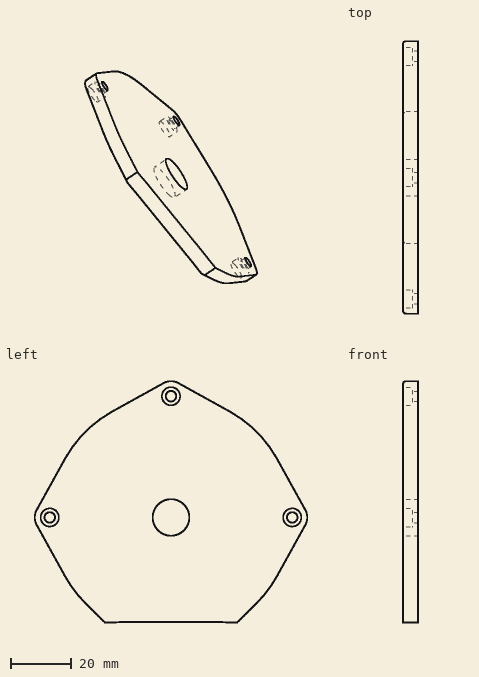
import cadquery as cq
import math

thickness = 5.0
screw_circle_radius = 40.0
corner_radius = 5.0
body_radius = screw_circle_radius
base_z = -34.71
base_half_width = 21.8
base_relief_depth = 0.2
relief_floor_half_width = 16.0
relief_mouth_half_width = 19.0
rim_fillet = 1.0
shaft_hole_diameter = 12.0
screw_hole_diameter = 3.4
counterbore_diameter = 6.0
counterbore_depth = 3.0

flank_normal_angle = math.acos((body_radius - corner_radius) / screw_circle_radius)

base_corner_distance = math.hypot(base_half_width, base_z)
base_corner_angle = math.atan2(base_z, base_half_width)
lower_tangent_angle = base_corner_angle + math.acos(body_radius / base_corner_distance)


def polar_point(radius, angle, center=(0, 0)):
    """Point (y, z) on a circle, with the angle measured from +Y toward +Z."""
    y = center[0] + radius * math.cos(angle)
    z = center[1] + radius * math.sin(angle)
    return y, z


def mirror_y(point):
    return -point[0], point[1]


def make_plate():
    """Plate of the body circle drawn out to three rounded corners, cut off by the base."""
    quarter_turn = math.pi / 2
    top_center = (0, screw_circle_radius)
    side_center = (screw_circle_radius, 0)
    upper_angle = quarter_turn - flank_normal_angle

    top_corner = polar_point(corner_radius, upper_angle, top_center)
    body_top = polar_point(body_radius, upper_angle)
    body_middle = polar_point(body_radius, quarter_turn / 2)
    body_side = polar_point(body_radius, flank_normal_angle)
    side_corner_upper = polar_point(corner_radius, flank_normal_angle, side_center)
    side_corner_tip = polar_point(corner_radius, 0, side_center)
    side_corner_lower = polar_point(corner_radius, -flank_normal_angle, side_center)
    lower_body_start = polar_point(body_radius, -flank_normal_angle)
    lower_body_middle = polar_point(body_radius, (lower_tangent_angle - flank_normal_angle) / 2)
    lower_body_end = polar_point(body_radius, lower_tangent_angle)
    base_corner = (base_half_width, base_z)
    top_tip = (0, screw_circle_radius + corner_radius)

    outline = (
        cq.Workplane("YZ")
        .moveTo(*base_corner)
        .lineTo(*lower_body_end)
        .threePointArc(lower_body_middle, lower_body_start)
        .lineTo(*side_corner_lower)
        .threePointArc(side_corner_tip, side_corner_upper)
        .lineTo(*body_side)
        .threePointArc(body_middle, body_top)
        .lineTo(*top_corner)
        .threePointArc(top_tip, mirror_y(top_corner))
        .lineTo(*mirror_y(body_top))
        .threePointArc(mirror_y(body_middle), mirror_y(body_side))
        .lineTo(*mirror_y(side_corner_upper))
        .threePointArc(mirror_y(side_corner_tip), mirror_y(side_corner_lower))
        .lineTo(*mirror_y(lower_body_start))
        .threePointArc(mirror_y(lower_body_middle), mirror_y(lower_body_end))
        .lineTo(*mirror_y(base_corner))
        .close()
    )
    return outline.extrude(thickness)


def round_rim(plate):
    """Round the -X rim everywhere except along the flat base."""
    rim = plate.faces("<X").edges("not(<Z)")
    return rim.fillet(rim_fillet)


def relieve_base(plate):
    """Shallow relief with sloped ends along the base, leaving a foot on each side."""
    floor_z = base_z + base_relief_depth
    relief = (
        cq.Workplane("YZ")
        .moveTo(-relief_mouth_half_width, base_z)
        .lineTo(-relief_floor_half_width, floor_z)
        .lineTo(relief_floor_half_width, floor_z)
        .lineTo(relief_mouth_half_width, base_z)
        .close()
        .extrude(thickness)
    )
    return plate.cut(relief)


def cut_holes(plate):
    """Central shaft hole and a screw hole, counterbored from -X, in each corner."""
    screw_places = [
        (screw_circle_radius, 0),
        (0, screw_circle_radius),
        (-screw_circle_radius, 0),
    ]
    screw_pattern = cq.Workplane("YZ").pushPoints(screw_places)
    shaft = cq.Workplane("YZ").circle(shaft_hole_diameter / 2).extrude(thickness)
    screws = screw_pattern.circle(screw_hole_diameter / 2).extrude(thickness)
    counterbores = screw_pattern.circle(counterbore_diameter / 2).extrude(counterbore_depth)
    return plate.cut(shaft).cut(screws).cut(counterbores)


plate = make_plate()
rounded_plate = round_rim(plate)
relieved_plate = relieve_base(rounded_plate)
result = cut_holes(relieved_plate)